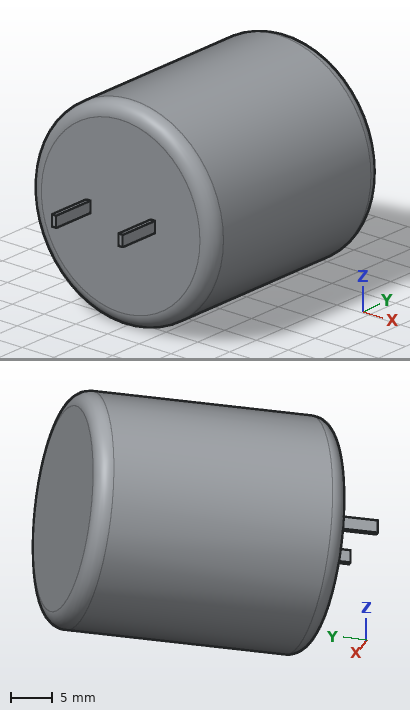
import cadquery as cq

overall_length = 37.9
can_diameter = 29.0
long_lead_length = 6.4
short_lead_length = 6.03
can_length = overall_length - long_lead_length
edge_radius = 2.0

lead_spacing = 10.15
lead_width = 0.7
lead_height = 1.6
lead_root = 0.38


def make_can():
    """Solid can from Y = 0 to Y = can_length, with both rims rounded."""
    can = cq.Workplane("XZ").circle(can_diameter / 2).extrude(-can_length)
    return can.faces("<Y or >Y").edges().fillet(edge_radius)


def make_lead(x_centre, length):
    """Rectangular lead reaching the given length out of the -Y end."""
    return (
        cq.Workplane("XZ", origin=(x_centre, lead_root, 0))
        .rect(lead_width, lead_height)
        .extrude(length + lead_root)
    )


result = (
    make_can()
    .union(make_lead(-lead_spacing / 2, long_lead_length))
    .union(make_lead(lead_spacing / 2, short_lead_length))
)